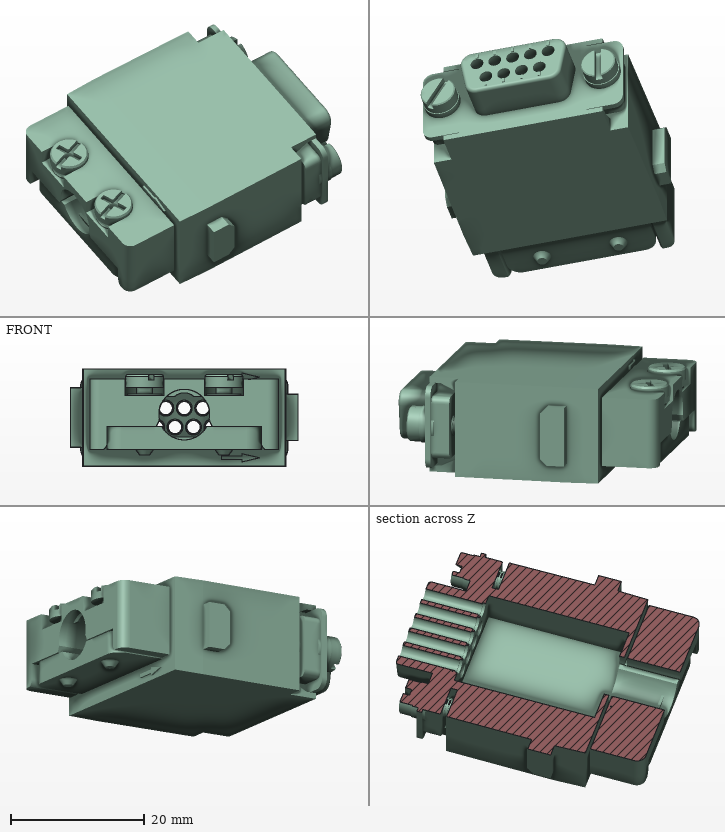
import cadquery as cq
import math


housing_width = 30.5
housing_height = 14.65
housing_split_y = 13.65
end_narrowing = 0.3
end_thinning = 0.1
housing_back = 8.8
shoulder_y = 30.8
housing_front = 35.35
nose_width = 24.8

overall_width = 34.2
tab_front = 17.33
tab_chamfer = 1.0
left_tab_z = (2.85, 11.83)
right_tab_z = (3.85, 10.85)

clamp_width = 28.32
clamp_bottom = 2.55
clamp_top = 13.1
clamp_length = 8.4
clamp_corner = 1.45
split_z = 6.0
insert_width = 23.15
insert_corner = 2.15
insert_recess = 0.37
neck_width = 22.9
neck_top = 6.57
notch_flare_width = 0.5
notch_flare_height = 1.05
cable_diameter = 7.6
cable_z = 7.77
cable_flare_width = 8.35
cable_flare_z = 6.95
rib_y = (1.85, 2.27)
lower_rib_z = 4.42
upper_rib_z = 10.45
rib_embedding = 0.12
upper_rib_arch_radius = 2.1
upper_rib_arch_z = 8.95

clamp_screw_x = 5.95
clamp_screw_y = 2.98
clamp_pocket_width = 5.87
clamp_pocket_floor = 10.63
clamp_head_diameter = 5.7
clamp_head_bottom = 11.85
clamp_head_top = 13.8
clamp_head_chamfer_height = 0.3
clamp_head_chamfer_width = 0.2
clamp_washer_diameter = 5.2
clamp_washer_thickness = 0.25
clamp_shank_diameter = 2.4
cross_angle = 21.0
cross_width = 0.85
cross_depth = 0.85
cross_short_length = 4.2
centre_recess_radius = 0.7
centre_recess_end_radius = 0.15
centre_cone_depth = 0.7
tip_top_radius = 1.35
tip_bottom_radius = 0.75
tip_end_z = 1.7

dsub_z = housing_height / 2
shell_face = 41.2
shell_top_width = 16.4
shell_height = 7.8
shell_corner = 1.85
shell_side_angle = 10.0
shell_edge_fillet = 0.55
plate_width = 31.15
plate_height = 12.6
plate_thickness = 0.83
plate_corner = 1.55
ear_width = 30.0
ear_height = 9.5
ear_back = 31.75
ear_corner = 1.0
core_width = 21.5
side_pocket_x = 9.92
side_pocket_height = 12.8
side_pocket_floor_height = 10.0
side_pocket_straight = 1.65

contact_pitch = 2.75
contact_row_gap = 2.85
contact_bore = 2.0
contact_entry = 2.4
contact_entry_depth = 0.4
cavity_width = 16.55
cavity_bottom = 3.3
cavity_top = 12.0
cavity_wall = 0.83
mark_width = 0.4
mark_height = 0.7
mark_row_gap = 5.7
overall_length = 41.35

lock_screw_x = 12.5
lock_head_diameter = 5.35
lock_head_front = 38.35
lock_head_chamfer = 0.15
lock_washer_diameter = 5.6
lock_washer_thickness = 1.0
retainer_thickness = 0.4
lock_slot_width = 1.05
lock_slot_depth = 1.0
right_slot_angle = 31.0
thread_diameter = 2.65
thread_crest_diameter = 2.98
thread_crest_width = 0.2
thread_pitch = 0.45

arrow_z = (1.3, 13.4)
arrow_tail_x = 5.6
arrow_neck_x = 8.7
arrow_tip_x = 11.3
arrow_shaft_half = 0.3
arrow_head_half = 0.6
arrow_height = 0.3


def block(x_range, y_range, z_range):
    """Box spanning the given ranges."""
    sizes = [high - low for low, high in (x_range, y_range, z_range)]
    corner = (x_range[0], y_range[0], z_range[0])
    return cq.Workplane("XY").box(*sizes, centered=False).translate(corner)


def wide_block(width, y_range, z_range):
    """Box centred on the YZ plane."""
    return block((-width / 2, width / 2), y_range, z_range)


def plane_xz(x, y, z):
    """XZ sketch plane; a negative extrusion runs towards +Y."""
    return cq.Workplane("XZ", origin=(x, y, z))


def rod_y(x, z, diameter, y_start, y_end):
    return plane_xz(x, y_start, z).circle(diameter / 2).extrude(y_start - y_end)


def rod_z(x, y, diameter, z_start, z_end):
    base = cq.Workplane("XY", origin=(x, y, z_start))
    return base.circle(diameter / 2).extrude(z_end - z_start)


def make_side_tab(side, z_range):
    """Tab on one side wall with its two front corners bevelled."""
    x_ends = sorted((side * nose_width / 2, side * overall_width / 2))
    tab = block(x_ends, (housing_split_y, tab_front), z_range)
    return tab.edges(">Y and |X").chamfer(tab_chamfer)


def make_side_pocket(side):
    """Recess in the side of the nose, narrowing towards its floor."""
    half_open = side_pocket_height / 2
    half_floor = side_pocket_floor_height / 2
    straight_end = housing_front - side_pocket_straight
    profile = [
        (housing_front, half_open),
        (straight_end, half_open),
        (shoulder_y, half_floor),
        (shoulder_y, -half_floor),
        (straight_end, -half_open),
        (housing_front, -half_open),
    ]
    depth = nose_width / 2 - side_pocket_x
    start_x = side_pocket_x if side > 0 else -nose_width / 2
    return cq.Workplane("YZ", origin=(start_x, 0, dsub_z)).polyline(profile).close().extrude(depth)


def make_arrow(z):
    half = [
        (arrow_tail_x, arrow_shaft_half),
        (arrow_neck_x, arrow_shaft_half),
        (arrow_neck_x, arrow_head_half),
    ]
    mirrored = [(x, -height) for x, height in reversed(half)]
    points = half + [(arrow_tip_x, 0)] + mirrored
    return plane_xz(0, housing_back, z).polyline(points).close().extrude(arrow_height)


def make_drafted_half(end_y):
    """Housing half that shrinks slightly from the split plane to its end."""
    return (
        plane_xz(0, housing_split_y, dsub_z)
        .rect(housing_width, housing_height)
        .workplane(offset=housing_split_y - end_y)
        .rect(housing_width - end_narrowing, housing_height - end_thinning)
        .loft()
    )


def make_housing():
    housing = make_drafted_half(housing_back).union(make_drafted_half(housing_front))
    for side, z_range in ((-1, left_tab_z), (1, right_tab_z)):
        shoulder_x = sorted((side * nose_width / 2, side * housing_width / 2))
        housing = housing.cut(block(shoulder_x, (shoulder_y, housing_front), (0, housing_height)))
        housing = housing.union(make_side_tab(side, z_range))
        housing = housing.cut(make_side_pocket(side))
    for z in arrow_z:
        housing = housing.union(make_arrow(z))
    return housing


def make_insert_notch():
    """Opening under the clamp, flared along its bottom edges."""
    half = insert_width / 2
    flare_x = half + notch_flare_width
    flare_z = clamp_bottom + notch_flare_height
    return (
        plane_xz(0, 0, 0)
        .moveTo(0, split_z)
        .lineTo(half, split_z)
        .lineTo(half, flare_z)
        .tangentArcPoint((flare_x, clamp_bottom), relative=False)
        .lineTo(0, clamp_bottom)
        .mirrorY()
        .extrude(-clamp_length)
    )


def make_cable_bore():
    """Round cable passage, with the upper clamp half flaring out at the split."""
    bore_end = housing_back + cavity_wall
    bore = rod_y(0, cable_z, cable_diameter, 0, bore_end)
    half = math.sqrt((cable_diameter / 2) ** 2 - (cable_z - cable_flare_z) ** 2)
    half_flare = cable_flare_width / 2
    points = [(-half, cable_flare_z), (half, cable_flare_z), (half_flare, split_z), (-half_flare, split_z)]
    flare = plane_xz(0, 0, 0).polyline(points).close().extrude(-bore_end)
    return bore.union(flare)


def make_insert():
    """Lower clamp half, its front set back and rounded at both ends."""
    insert = wide_block(insert_width, (insert_recess, clamp_length), (clamp_bottom, split_z))
    return insert.edges("|Z and <Y").fillet(insert_corner)


def make_cable_ribs():
    """Ribs that grip the cable: a straight one below and an arched one above."""
    bore_bottom = cable_z - cable_diameter / 2
    bore_top = cable_z + cable_diameter / 2
    lower = wide_block(cable_diameter, rib_y, (bore_bottom, lower_rib_z))
    upper = wide_block(cable_diameter, rib_y, (upper_rib_z, bore_top))
    upper = upper.cut(rod_y(0, upper_rib_arch_z, 2 * upper_rib_arch_radius, *rib_y))
    limit = rod_y(0, cable_z, cable_diameter + 2 * rib_embedding, *rib_y)
    return lower.union(upper).intersect(limit)


def make_clamp():
    clamp = wide_block(clamp_width, (0, clamp_length), (clamp_bottom, clamp_top))
    clamp = clamp.edges("|Z and <Y").fillet(clamp_corner)
    clamp = clamp.cut(make_insert_notch())
    neck = wide_block(neck_width, (clamp_length, housing_back), (clamp_bottom, neck_top))
    clamp = clamp.union(make_insert()).union(neck)
    half_pocket = clamp_pocket_width / 2
    pocket_z = (clamp_pocket_floor, clamp_top)
    for x in (-clamp_screw_x, clamp_screw_x):
        round_end = rod_z(x, clamp_screw_y, clamp_pocket_width, *pocket_z)
        open_end = block((x - half_pocket, x + half_pocket), (0, clamp_screw_y), pocket_z)
        clamp = clamp.cut(round_end).cut(open_end)
        clamp = clamp.union(make_clamp_screw(x))
    return clamp


def make_clamp_screw(x):
    """Cheese-head screw on a washer, with crossed slots and a conical tip below the clamp."""
    head = rod_z(x, clamp_screw_y, clamp_head_diameter, clamp_head_bottom, clamp_head_top)
    head = head.faces(">Z").edges().chamfer(clamp_head_chamfer_height, clamp_head_chamfer_width)
    head_plane = cq.Workplane("XY", origin=(x, clamp_screw_y, clamp_head_top))
    slot_plane = head_plane.transformed(rotate=(0, 0, cross_angle))
    long_slot = slot_plane.rect(cross_width, 2 * clamp_head_diameter).extrude(-cross_depth)
    short_slot = slot_plane.rect(cross_short_length, cross_width).extrude(-cross_depth)
    recess = head_plane.circle(centre_recess_radius).extrude(-cross_depth)
    cone = (
        head_plane.workplane(offset=-cross_depth)
        .circle(centre_recess_radius)
        .workplane(offset=-centre_cone_depth)
        .circle(centre_recess_end_radius)
        .loft()
    )
    head = head.cut(long_slot).cut(short_slot).cut(recess).cut(cone)
    washer_top = clamp_pocket_floor + clamp_washer_thickness
    washer = rod_z(x, clamp_screw_y, clamp_washer_diameter, clamp_pocket_floor, washer_top)
    shank = rod_z(x, clamp_screw_y, clamp_shank_diameter, clamp_pocket_floor, clamp_head_bottom)
    tip = (
        cq.Workplane("XY", origin=(x, clamp_screw_y, tip_end_z))
        .circle(tip_bottom_radius)
        .workplane(offset=clamp_bottom - tip_end_z)
        .circle(tip_top_radius)
        .loft()
    )
    return head.union(washer).union(shank).union(tip)


def make_shell():
    """Connector shell with the usual D outline, wider at the top."""
    half_top = shell_top_width / 2
    half_height = shell_height / 2
    lean = math.tan(math.radians(shell_side_angle))
    corner_reach = shell_corner * (1 / math.cos(math.radians(shell_side_angle)) - 1 + lean)
    outline_top = half_top + corner_reach
    outline_bottom = outline_top - shell_height * lean
    points = [
        (-outline_top, half_height),
        (outline_top, half_height),
        (outline_bottom, -half_height),
        (-outline_bottom, -half_height),
    ]
    shell = plane_xz(0, housing_front, dsub_z).polyline(points).close().extrude(housing_front - shell_face)
    shell = shell.edges("|Y").fillet(shell_corner)
    return shell.faces(">Y").edges().fillet(shell_edge_fillet)


def contact_positions():
    """X position and row (1 = upper, -1 = lower) of the nine contacts."""
    upper = [(contact_pitch * (i - 2), 1) for i in range(5)]
    lower = [(contact_pitch * (i - 1.5), -1) for i in range(4)]
    return upper + lower


def centred_z(height):
    return (dsub_z - height / 2, dsub_z + height / 2)


def make_connector():
    plate_back = housing_front - plate_thickness
    plate = wide_block(plate_width, (plate_back, housing_front), centred_z(plate_height))
    plate = plate.edges("|Y").fillet(plate_corner)
    ears = wide_block(ear_width, (ear_back, plate_back), centred_z(ear_height))
    ears = ears.edges("|Y").fillet(ear_corner)
    core = wide_block(core_width, (ear_back, plate_back), centred_z(side_pocket_height))
    connector = plate.union(ears).union(core).union(make_shell())
    for x, row in contact_positions():
        z = dsub_z + row * mark_row_gap / 2
        x_range = (x - mark_width / 2, x + mark_width / 2)
        z_range = (z - mark_height / 2, z + mark_height / 2)
        connector = connector.union(block(x_range, (shell_face, overall_length), z_range))
    return connector


def make_lock_screw(x, slot_angle):
    """Slotted screw through the mounting plate with washer, retainer and thread."""
    washer_front = housing_front + lock_washer_thickness
    plate_back = housing_front - plate_thickness
    head = rod_y(x, dsub_z, lock_head_diameter, washer_front, lock_head_front)
    head = head.faces(">Y").chamfer(lock_head_chamfer)
    slot = (
        plane_xz(x, lock_head_front, dsub_z)
        .transformed(rotate=(0, 0, slot_angle))
        .rect(lock_slot_width, 2 * lock_head_diameter)
        .extrude(lock_slot_depth)
    )
    washer = rod_y(x, dsub_z, lock_washer_diameter, housing_front, washer_front)
    retainer = rod_y(x, dsub_z, lock_washer_diameter, plate_back - retainer_thickness, plate_back)
    screw = head.cut(slot).union(washer).union(retainer)
    screw = screw.union(rod_y(x, dsub_z, thread_diameter, shoulder_y, ear_back))
    for turn in range(2):
        crest_y = shoulder_y + thread_pitch * (turn + 0.5)
        crest = rod_y(x, dsub_z, thread_crest_diameter, crest_y, crest_y + thread_crest_width)
        screw = screw.union(crest)
    return screw


def make_contact_bores():
    """Contact holes, each widened where it meets the wiring cavity."""
    bores = cq.Workplane("XY")
    for x, row in contact_positions():
        z = dsub_z + row * contact_row_gap / 2
        bores = bores.union(rod_y(x, z, contact_bore, ear_back, overall_length))
        bores = bores.union(rod_y(x, z, contact_entry, ear_back, ear_back + contact_entry_depth))
    return bores


def make_wiring_cavity():
    return wide_block(cavity_width, (housing_back + cavity_wall, ear_back), (cavity_bottom, cavity_top))


part = make_housing().union(make_clamp()).union(make_connector())
for screw_x, angle in ((-lock_screw_x, 0), (lock_screw_x, right_slot_angle)):
    part = part.union(make_lock_screw(screw_x, angle))
part = part.cut(make_cable_bore()).cut(make_wiring_cavity()).cut(make_contact_bores())
result = part.union(make_cable_ribs())